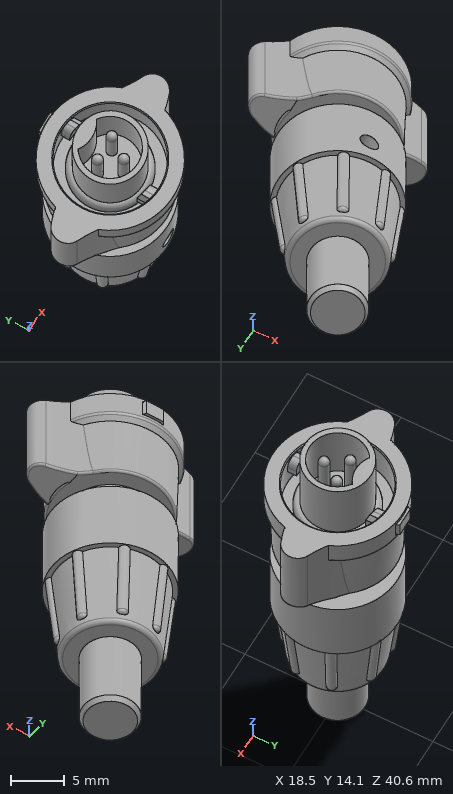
import cadquery as cq
import math

OVERALL_HEIGHT = 40.65

SHELL_BOTTOM_Z = 8.25
COLLAR_BOTTOM_Z = 17.23
INSERT_BOTTOM_Z = 18.3
SET_HOLE_Z = 19.65
COLLAR_TOP_Z = 24.8
NUT_BOTTOM_Z = 27.0
NUT_TOP_Z = 36.55

CABLE_RADIUS = 2.905
CABLE_CHAMFER_WIDTH = 0.35
CABLE_CHAMFER_HEIGHT = 0.5

NUT_BASE_RADIUS = 6.18
NUT_WAIST_RADIUS = 6.38
NUT_WAIST_Z = 33.45
FLANGE_RADIUS = 6.9
FLANGE_BOTTOM_Z = 34.0
NUT_BOTTOM_FILLET = 0.25
FLANGE_FILLET = 0.4
NUT_BORE_RADIUS = 5.32
NUT_BORE_FLOOR_Z = 32.83
BORE_RIM_CHAMFER = 0.12
NECK_STEP_Z = NUT_BORE_FLOOR_Z - 0.8

NECK_RADIUS = 4.4
TAIL_END_RADIUS = 4.0
SHOULDER_RADIUS = 4.2
BARREL_RADIUS = 3.55
SHOULDER_ROUND_Z = 33.1
SHOULDER_ROUND = SHOULDER_RADIUS - BARREL_RADIUS
SOCKET_RADIUS = 2.985
SOCKET_FLOOR_Z = 34.13
KEY_HALF_WIDTH = 1.65
KEY_TIP_Y = 1.95
PIN_RADIUS = 0.55
PIN_TIP_Z = 39.75
PIN_POSITIONS = [(-1.3, 0.6), (1.3, 0.6), (0.0, -1.45)]

COLLAR_RADIUS = 6.35
CONE_TOP_RADIUS = 5.8
CONE_BOTTOM_RADIUS = 4.88
CONE_BOTTOM_FILLET = 0.5
RIB_COUNT = 8
RIB_RADIUS = 0.55
RIB_INSET = 0.15
RIB_END_Z = 9.22
RIB_END_FILLET = 0.4
SET_HOLE_MOUTH_RADIUS = 0.98
SET_HOLE_INNER_RADIUS = 0.77

WING_TIP_X = 9.245
WING_TIP_RADIUS = 1.605
WING_TIP_CENTER_X = WING_TIP_X - WING_TIP_RADIUS
WING_LONG_FLANK_ANGLE = 242.0
WING_SHORT_FLANK_ANGLE = 103.0
WING_ROOT_X = -4.7
WING_LONG_ROOT_Y = -4.0
WING_LONG_FLANK_MIDDLE = (-6.4, -2.55)
WING_SHORT_ROOT_Y = 2.07
WING_SHORT_FLANK_MIDDLE = (-6.7, 1.95)
WING_SLOPE_START_X = 5.75
WING_SLOPE_RISE = 1.18

TAB_INNER_RADIUS = 4.4
TAB_WIDTH = 1.83
TAB_ROUND = 0.9
TAB_FLAT_END = 1.4
TAB_BOTTOM_Z = 34.6
TAB_TOP_Z = 36.25

MARK_BASE_WIDTH = 2.35
MARK_TOP_WIDTH = 1.95
MARK_HEIGHT = 0.25
MARK_BOTTOM_Z = 34.5
MARK_TOP_Z = 36.15


def cylinder(radius, bottom_z, top_z):
    return cq.Workplane("XY", origin=(0, 0, bottom_z)).circle(radius).extrude(top_z - bottom_z)


def revolve_profile(profile):
    """Turn a closed (radius, Z) outline around the plug axis."""
    return profile.close().revolve(360, (0, 0, 0), (0, 1, 0))


def half_turn(body):
    return body.rotate((0, 0, 0), (0, 0, 1), 180)


def make_cable():
    return revolve_profile(
        cq.Workplane("XZ")
        .moveTo(0, 0)
        .lineTo(CABLE_RADIUS - CABLE_CHAMFER_WIDTH, 0)
        .lineTo(CABLE_RADIUS, CABLE_CHAMFER_HEIGHT)
        .lineTo(CABLE_RADIUS, INSERT_BOTTOM_Z)
        .lineTo(0, INSERT_BOTTOM_Z)
    )


def make_insert_blank():
    """Outer form of the insert: tapered tail, neck, rounded shoulder and barrel."""
    return revolve_profile(
        cq.Workplane("XZ")
        .moveTo(0, INSERT_BOTTOM_Z)
        .lineTo(TAIL_END_RADIUS, INSERT_BOTTOM_Z)
        .lineTo(NECK_RADIUS, SET_HOLE_Z)
        .lineTo(NECK_RADIUS, NECK_STEP_Z)
        .lineTo(SHOULDER_RADIUS, NECK_STEP_Z)
        .lineTo(SHOULDER_RADIUS, SHOULDER_ROUND_Z)
        .radiusArc((BARREL_RADIUS, SHOULDER_ROUND_Z + SHOULDER_ROUND), -SHOULDER_ROUND)
        .lineTo(BARREL_RADIUS, OVERALL_HEIGHT)
        .lineTo(0, OVERALL_HEIGHT)
    )


def make_socket():
    """Open socket of the barrel: a round cavity with a bulging key along its +Y side."""
    key_edge_y = math.sqrt(SOCKET_RADIUS**2 - KEY_HALF_WIDTH**2)
    return (
        cq.Workplane("XY", origin=(0, 0, SOCKET_FLOOR_Z))
        .moveTo(-KEY_HALF_WIDTH, key_edge_y)
        .threePointArc((0, -SOCKET_RADIUS), (KEY_HALF_WIDTH, key_edge_y))
        .threePointArc((0, KEY_TIP_Y), (-KEY_HALF_WIDTH, key_edge_y))
        .close()
        .extrude(OVERALL_HEIGHT - SOCKET_FLOOR_Z)
    )


def make_pin(x, y):
    """Contact pin with a hemispherical tip."""
    dome_z = PIN_TIP_Z - PIN_RADIUS
    shaft = cylinder(PIN_RADIUS, SOCKET_FLOOR_Z, dome_z)
    dome = cq.Workplane("XY").sphere(PIN_RADIUS).translate((0, 0, dome_z))
    return shaft.union(dome).translate((x, y, 0))


def make_insert():
    insert = make_insert_blank().cut(make_socket())
    for x, y in PIN_POSITIONS:
        insert = insert.union(make_pin(x, y))
    return insert


def make_rib():
    """Round rib lying along the cone surface, with a rounded lower end."""
    slope = (CONE_TOP_RADIUS - CONE_BOTTOM_RADIUS) / (COLLAR_BOTTOM_Z - SHELL_BOTTOM_Z)
    end_radius = CONE_BOTTOM_RADIUS + slope * (RIB_END_Z - SHELL_BOTTOM_Z) - RIB_INSET
    axis = cq.Plane(origin=(end_radius, 0, RIB_END_Z), xDir=(0, 1, 0), normal=(slope, 0, 1))
    length = COLLAR_BOTTOM_Z - RIB_END_Z + RIB_RADIUS
    rod = cq.Workplane(axis).circle(RIB_RADIUS).extrude(length)
    return rod.edges("<Z").fillet(RIB_END_FILLET)


def make_set_hole():
    """Tapered radial hole through the collar wall on the -Y side, down to the insert."""
    return cq.Workplane(
        cq.Solid.makeCone(
            SET_HOLE_MOUTH_RADIUS,
            SET_HOLE_INNER_RADIUS,
            COLLAR_RADIUS - TAIL_END_RADIUS,
            cq.Vector(0, -COLLAR_RADIUS, SET_HOLE_Z),
            cq.Vector(0, 1, 0),
        )
    )


def make_backshell(insert_blank, cable):
    cone = revolve_profile(
        cq.Workplane("XZ")
        .moveTo(0, SHELL_BOTTOM_Z)
        .lineTo(CONE_BOTTOM_RADIUS, SHELL_BOTTOM_Z)
        .lineTo(CONE_TOP_RADIUS, COLLAR_BOTTOM_Z)
        .lineTo(0, COLLAR_BOTTOM_Z)
    )
    shell = cone.faces("<Z").edges().fillet(CONE_BOTTOM_FILLET)
    shell = shell.union(cylinder(COLLAR_RADIUS, COLLAR_BOTTOM_Z, COLLAR_TOP_Z))
    rib = make_rib()
    rib_pitch = 360.0 / RIB_COUNT
    for index in range(RIB_COUNT):
        shell = shell.union(rib.rotate((0, 0, 0), (0, 0, 1), (index + 0.5) * rib_pitch))
    return shell.cut(make_set_hole()).cut(insert_blank).cut(cable)


def wing_tip_point(angle):
    """Point at an angle in degrees on the tip round of the -X wing."""
    turn = math.radians(angle)
    return (
        -WING_TIP_CENTER_X + WING_TIP_RADIUS * math.cos(turn),
        WING_TIP_RADIUS * math.sin(turn),
    )


def make_wing():
    """Wing on the -X side: a long hollow -Y flank, a short +Y flank and a sloped underside."""
    wing = (
        cq.Workplane("XY", origin=(0, 0, NUT_BOTTOM_Z))
        .moveTo(0, WING_LONG_ROOT_Y)
        .lineTo(WING_ROOT_X, WING_LONG_ROOT_Y)
        .threePointArc(WING_LONG_FLANK_MIDDLE, wing_tip_point(WING_LONG_FLANK_ANGLE))
        .threePointArc((-WING_TIP_X, 0), wing_tip_point(WING_SHORT_FLANK_ANGLE))
        .threePointArc(WING_SHORT_FLANK_MIDDLE, (-WING_SLOPE_START_X, WING_SHORT_ROOT_Y))
        .lineTo(0, WING_SHORT_ROOT_Y)
        .close()
        .extrude(NUT_TOP_Z - NUT_BOTTOM_Z)
    )
    underside = (
        cq.Workplane("XZ")
        .moveTo(-WING_SLOPE_START_X, NUT_BOTTOM_Z)
        .lineTo(-WING_TIP_X, NUT_BOTTOM_Z + WING_SLOPE_RISE)
        .lineTo(-WING_TIP_X, NUT_BOTTOM_Z)
        .close()
        .extrude(FLANGE_RADIUS, both=True)
    )
    wing = wing.cut(underside)
    bottom_box = cq.selectors.BoxSelector(
        (-WING_TIP_X, -FLANGE_RADIUS, NUT_BOTTOM_Z - NUT_BOTTOM_FILLET),
        (-NUT_BOTTOM_FILLET, FLANGE_RADIUS, NUT_BOTTOM_Z + WING_SLOPE_RISE),
    )
    return wing.edges(bottom_box).edges("not |Y").fillet(NUT_BOTTOM_FILLET)


def make_tab():
    """Bayonet tab on the +Y side of the bore, its top rounded at one end and sloped at the other."""
    corner = TAB_ROUND * (1 - math.sqrt(0.5))
    side_view = (
        cq.Workplane("XZ")
        .moveTo(0, TAB_BOTTOM_Z)
        .lineTo(0, TAB_TOP_Z - TAB_ROUND)
        .threePointArc((corner, TAB_TOP_Z - corner), (TAB_ROUND, TAB_TOP_Z))
        .lineTo(TAB_FLAT_END, TAB_TOP_Z)
        .lineTo(TAB_WIDTH, TAB_TOP_Z + TAB_FLAT_END - TAB_WIDTH)
        .lineTo(TAB_WIDTH, TAB_BOTTOM_Z)
        .close()
        .extrude(-FLANGE_RADIUS)
    )
    middle_radius = (NUT_BORE_RADIUS + FLANGE_RADIUS) / 2
    ring = cylinder(middle_radius, TAB_BOTTOM_Z, TAB_TOP_Z)
    ring = ring.cut(cylinder(TAB_INNER_RADIUS, TAB_BOTTOM_Z, TAB_TOP_Z))
    return side_view.intersect(ring)


def make_index_mark():
    """Raised block with sloping sides on the +Y side of the flange."""
    root_y = math.sqrt(FLANGE_RADIUS**2 - (MARK_BASE_WIDTH / 2) ** 2)
    top_y = FLANGE_RADIUS + MARK_HEIGHT
    return (
        cq.Workplane("XY", origin=(0, 0, MARK_BOTTOM_Z))
        .polyline(
            [
                (-MARK_BASE_WIDTH / 2, root_y),
                (MARK_BASE_WIDTH / 2, root_y),
                (MARK_TOP_WIDTH / 2, top_y),
                (-MARK_TOP_WIDTH / 2, top_y),
            ]
        )
        .close()
        .extrude(MARK_TOP_Z - MARK_BOTTOM_Z)
    )


def make_nut_bore():
    """Bore of the nut with a chamfered rim."""
    return revolve_profile(
        cq.Workplane("XZ")
        .moveTo(0, NUT_BORE_FLOOR_Z)
        .lineTo(NUT_BORE_RADIUS, NUT_BORE_FLOOR_Z)
        .lineTo(NUT_BORE_RADIUS, NUT_TOP_Z - BORE_RIM_CHAMFER)
        .lineTo(NUT_BORE_RADIUS + BORE_RIM_CHAMFER, NUT_TOP_Z)
        .lineTo(0, NUT_TOP_Z)
    )


def make_coupling_nut(insert_blank):
    nut = revolve_profile(
        cq.Workplane("XZ")
        .moveTo(0, NUT_BOTTOM_Z)
        .lineTo(NUT_BASE_RADIUS, NUT_BOTTOM_Z)
        .lineTo(NUT_WAIST_RADIUS, NUT_WAIST_Z)
        .lineTo(FLANGE_RADIUS, FLANGE_BOTTOM_Z)
        .lineTo(FLANGE_RADIUS, NUT_TOP_Z)
        .lineTo(0, NUT_TOP_Z)
    )
    nut = nut.faces("%CYLINDER").edges("<Z").fillet(FLANGE_FILLET)
    nut = nut.faces("<Z").edges().fillet(NUT_BOTTOM_FILLET)
    wing = make_wing()
    nut = nut.union(wing).union(half_turn(wing)).union(make_index_mark())
    nut = nut.cut(make_nut_bore())
    tab = make_tab()
    return nut.union(tab).union(half_turn(tab)).cut(insert_blank)


cable = make_cable()
insert_blank = make_insert_blank()
insert = make_insert()
backshell = make_backshell(insert_blank, cable)
coupling_nut = make_coupling_nut(insert_blank)

result = cq.Compound.makeCompound([cable.val(), insert.val(), backshell.val(), coupling_nut.val()])